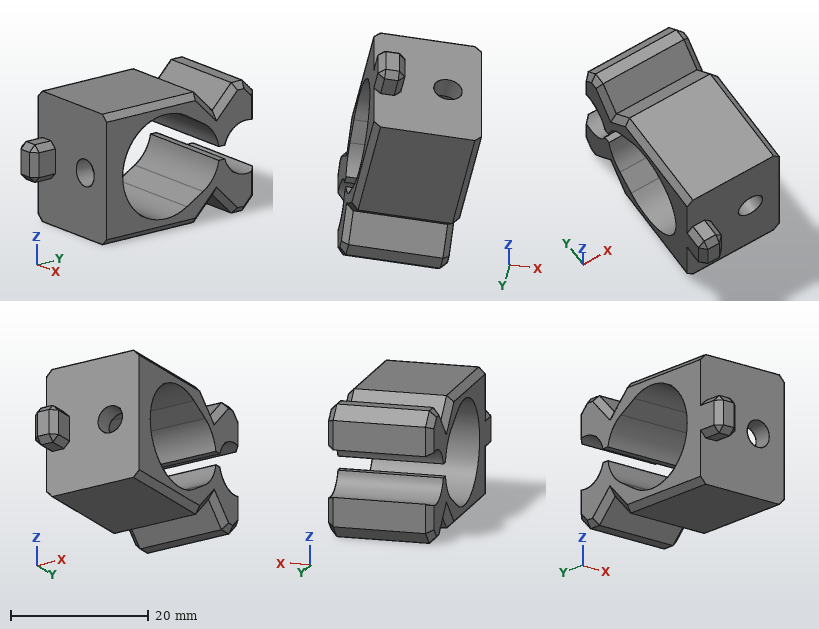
import cadquery as cq
import math

width = 16.0
height = 20.0
body_length = 28.0
edge_chamfer = 1.0

bore_radius = 8.0
front_wall = 3.0
neck_radius = 6.0
neck_offset = 4.0

mouth_radius = 4.1
mouth_inset = 2.0
slot_gap = 2.1

notch_side = 5.0
notch_depth = notch_side / math.sqrt(2)
jaw_bevel = 2.0
jaw_flat = 2.0

tab_width = 4.0
tab_length = 4.0
tab_height = 5.8
hole_diameter = 4.2
hole_x = 3.0

front_y = -(bore_radius + front_wall)
back_y = front_y + body_length
mouth_y = back_y - mouth_inset
half_height = height / 2


def make_body():
    """Notched block with its outer profile bevelled on both sides."""
    notch_back = back_y - jaw_bevel - jaw_flat
    upper = [
        (front_y, half_height),
        (notch_back - 2 * notch_depth, half_height),
        (notch_back - notch_depth, half_height - notch_depth),
        (notch_back, half_height),
        (back_y - jaw_bevel, half_height),
        (back_y, half_height - jaw_bevel),
    ]
    lower = [(y, -z) for y, z in reversed(upper)]
    block = cq.Workplane("YZ").polyline(upper + lower).close().extrude(width / 2, both=True)
    return (
        block.faces("<X or >X")
        .edges("not <Y")
        .chamfer(edge_chamfer)
    )


def make_teardrop():
    """Bore whose flanks are tangent to both of its circles."""
    tangent_angle = math.asin((bore_radius - neck_radius) / neck_offset)
    sine = math.sin(tangent_angle)
    cosine = math.cos(tangent_angle)
    bore_tangent = (bore_radius * sine, bore_radius * cosine)
    neck_tangent = (neck_offset + neck_radius * sine, neck_radius * cosine)
    return (
        cq.Workplane("YZ")
        .moveTo(bore_tangent[0], -bore_tangent[1])
        .threePointArc((-bore_radius, 0), bore_tangent)
        .lineTo(*neck_tangent)
        .threePointArc((neck_offset + neck_radius, 0), (neck_tangent[0], -neck_tangent[1]))
        .close()
        .extrude(width / 2, both=True)
    )


def make_mouth():
    """Round seat along X that breaks through the back face."""
    return cq.Workplane("YZ").center(mouth_y, 0).circle(mouth_radius).extrude(width / 2, both=True)


def make_slot():
    """Flat gap from the bore to the mouth."""
    return cq.Workplane("XY").box(width, mouth_y, slot_gap, centered=(True, False, True))


def make_hole():
    """Screw hole from the front face into the bore."""
    return (
        cq.Workplane("XZ", origin=(hole_x, 0, 0))
        .circle(hole_diameter / 2)
        .extrude(-front_y)
    )


def make_tab():
    """Tab flush with the -X side, bevelled everywhere but at its root."""
    return (
        cq.Workplane("XY")
        .box(tab_width, tab_length, tab_height, centered=(False, False, True))
        .edges("|Y or <Y")
        .chamfer(edge_chamfer)
        .translate((-width / 2, front_y - tab_length, 0))
    )


result = (
    make_body()
    .cut(make_teardrop())
    .cut(make_mouth())
    .cut(make_slot())
    .cut(make_hole())
    .union(make_tab())
)